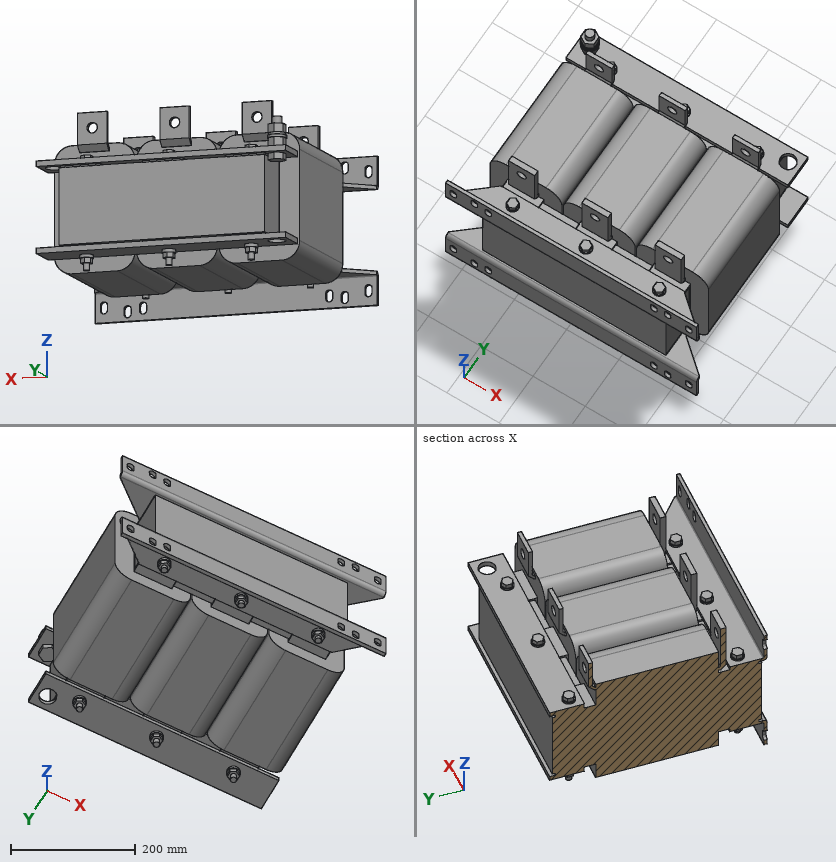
import cadquery as cq


leg_pitch = 140.0
yoke_depth = leg_pitch / 2
leg_width = 69.0
core_width = 2 * leg_pitch + yoke_depth
core_length = 360.0
core_height = 126.5
leg_positions = (-leg_pitch, 0, leg_pitch)

strip_length = 350.5
strip_thickness = 3.5
clamp_level = core_height / 2 + strip_thickness

coil_width = 137.5
coil_length = 211.0
coil_height = 210.0
coil_radius = 30.0
coil_centre_z = 8.0

terminal_width = 50.0
terminal_top = 163.0
terminal_hole_diameter = 17.5
terminal_hole_z = 138.0
rear_terminal_thickness = 7.0
rear_terminal_outer_y = 118.0
rear_terminal_bend_z = 111.0
rear_terminal_bend_drop = 10.5
front_terminal_thickness = 10.0
front_terminal_outer_y = 118.5
front_terminal_bend_z = 79.5
front_terminal_bend_drop = 8.5

bracket_width = 480.0
bracket_thickness = 6.0
bracket_bend_radius = 7.5
bracket_front_y = -189.5
bracket_rear_y = -125.0
bracket_taper_y = -180.5
bracket_reach_z = 122.0
slot_width = 12.0
slot_length = 19.5
slot_centres = ((225.0, 97.5), (185.0, 106.0), (158.5, 102.0))

plate_width = 424.5
plate_rear_y = 185.0
plate_front_y = 125.0
plate_thickness = 9.0
plate_hole_diameter = 29.0

bolt_y = 145.0
bolt_diameter = 10.0
head_size = 20.0
head_height = 7.5
washer_diameter = 22.0
head_washer_thickness = 3.0
nut_washer_thickness = 5.5
nut_size = 19.5
nut_height = 8.0
front_bolt_end_z = -94.0
rear_bolt_end_z = -101.0

stud_x = -189.5
stud_y = 161.0
stud_diameter = 16.0
stud_top = 127.0
stud_nut_size = 30.0
stud_washer_diameter = 31.0
stud_spring_washer_diameter = 28.5
stud_lower_nut_bottom = 56.0
stud_washer_bottom = 92.0
stud_washer_top = 96.5
stud_spring_washer_top = 100.5
stud_upper_nut_top = 114.5


def block(x_min, x_max, y_min, y_max, z_min, z_max):
    size = (x_max - x_min, y_max - y_min, z_max - z_min)
    return cq.Workplane("XY").box(*size, centered=False).translate((x_min, y_min, z_min))


def cylinder(x, y, diameter, z_min, z_max):
    return cq.Workplane("XY", origin=(x, y, z_min)).circle(diameter / 2).extrude(z_max - z_min)


def hexagon(x, y, corner_size, z_min, z_max):
    """Hexagonal prism with two opposite corners along Y."""
    prism = cq.Workplane("XY").polygon(6, corner_size).extrude(z_max - z_min)
    return prism.rotate((0, 0, 0), (0, 0, 1), 90).translate((x, y, z_min))


def make_core():
    """Front and rear yokes joined by three legs, each with its strips standing proud above and below."""
    yoke = cq.Workplane("XY").box(core_width, yoke_depth, core_height)
    yoke_y = (core_length - yoke_depth) / 2
    core = yoke.translate((0, yoke_y, 0)).union(yoke.translate((0, -yoke_y, 0)))
    leg = cq.Workplane("XY").box(leg_width, strip_length, 2 * clamp_level)
    for x in leg_positions:
        core = core.union(leg.translate((x, 0, 0)))
    return core


def make_coil(x):
    coil = cq.Workplane("XY").box(coil_width, coil_length, coil_height).edges("|Y").fillet(coil_radius)
    return coil.translate((x, 0, coil_centre_z))


def make_terminal(x, side, thickness, outer_y, bend_z, bend_drop):
    """Upright tab that turns through 45 degrees into the end face of a coil; side is +1 at the rear."""
    coil_end = coil_length / 2
    inner_y = outer_y - thickness
    profile = [
        (side * outer_y, terminal_top),
        (side * outer_y, bend_z),
        (side * (outer_y - bend_drop), bend_z - bend_drop),
        (side * coil_end, bend_z - bend_drop),
        (side * coil_end, bend_z - (inner_y - coil_end)),
        (side * inner_y, bend_z),
        (side * inner_y, terminal_top),
    ]
    tab = cq.Workplane("YZ").polyline(profile).close().extrude(terminal_width / 2, both=True)
    hole = (
        cq.Workplane("XZ", origin=(0, 0, terminal_hole_z))
        .circle(terminal_hole_diameter / 2)
        .extrude(core_length, both=True)
    )
    return tab.cut(hole).translate((x, 0, 0))


def make_upper_bracket():
    """Angle with a tapered flange on the core and an upright, slotted mounting face."""
    half_front = bracket_width / 2
    half_rear = core_width / 2
    outer = block(-half_front, half_front, bracket_front_y, bracket_rear_y,
                  clamp_level, bracket_reach_z)
    outer = outer.edges("|X and <Y and <Z").fillet(bracket_bend_radius)
    inner = block(-half_front, half_front, bracket_front_y + bracket_thickness, bracket_rear_y,
                  clamp_level + bracket_thickness, bracket_reach_z)
    inner = inner.edges("|X and <Y and <Z").fillet(bracket_bend_radius - bracket_thickness)
    plan = [
        (-half_front, bracket_front_y),
        (half_front, bracket_front_y),
        (half_front, bracket_taper_y),
        (half_rear, bracket_rear_y),
        (-half_rear, bracket_rear_y),
        (-half_front, bracket_taper_y),
    ]
    bracket = outer.cut(inner).intersect(cq.Workplane("XY").polyline(plan).close().extrude(bracket_reach_z))
    slot_points = [(side * x, z) for x, z in slot_centres for side in (-1, 1)]
    slots = (
        cq.Workplane("XZ", origin=(0, bracket_front_y + bracket_thickness, 0))
        .pushPoints(slot_points)
        .slot2D(slot_length, slot_width, 90)
        .extrude(bracket_thickness)
    )
    return bracket.cut(slots)


def make_upper_plate():
    """Rear clamping plate with its open hole at the +X end."""
    plate = block(-plate_width / 2, plate_width / 2, plate_front_y, plate_rear_y,
                  clamp_level, clamp_level + plate_thickness)
    hole = cylinder(-stud_x, stud_y, plate_hole_diameter, clamp_level, clamp_level + plate_thickness)
    return plate.cut(hole)


def make_bolt(x, y, seat_z, end_z):
    """Clamping bolt with head on top, nut below and washers against seats at +seat_z and -seat_z."""
    head_bottom = seat_z + head_washer_thickness
    nut_top = -seat_z - nut_washer_thickness
    bolt = cylinder(x, y, bolt_diameter, end_z, head_bottom)
    bolt = bolt.union(cylinder(x, y, washer_diameter, seat_z, head_bottom))
    bolt = bolt.union(hexagon(x, y, head_size, head_bottom, head_bottom + head_height))
    bolt = bolt.union(cylinder(x, y, washer_diameter, nut_top, -seat_z))
    return bolt.union(hexagon(x, y, nut_size, nut_top - nut_height, nut_top))


def make_stud():
    plate_top = clamp_level + plate_thickness
    stud = cylinder(stud_x, stud_y, stud_diameter, stud_lower_nut_bottom, stud_top)
    stud = stud.union(hexagon(stud_x, stud_y, stud_nut_size, stud_lower_nut_bottom, clamp_level))
    stud = stud.union(hexagon(stud_x, stud_y, stud_nut_size, plate_top, stud_washer_bottom))
    stud = stud.union(cylinder(stud_x, stud_y, stud_washer_diameter, stud_washer_bottom, stud_washer_top))
    stud = stud.union(
        cylinder(stud_x, stud_y, stud_spring_washer_diameter, stud_washer_top, stud_spring_washer_top)
    )
    return stud.union(hexagon(stud_x, stud_y, stud_nut_size, stud_spring_washer_top, stud_upper_nut_top))


upper_bracket = make_upper_bracket()
upper_plate = make_upper_plate()

result = make_core()
result = result.union(upper_bracket).union(upper_bracket.mirror("XY"))
result = result.union(upper_plate).union(upper_plate.rotate((0, 0, 0), (0, 1, 0), 180))
for leg_x in leg_positions:
    result = result.union(make_coil(leg_x))
    rear_terminal = make_terminal(
        leg_x, 1, rear_terminal_thickness, rear_terminal_outer_y,
        rear_terminal_bend_z, rear_terminal_bend_drop,
    )
    front_terminal = make_terminal(
        leg_x, -1, front_terminal_thickness, front_terminal_outer_y,
        front_terminal_bend_z, front_terminal_bend_drop,
    )
    result = result.union(rear_terminal).union(front_terminal)
    result = result.union(make_bolt(leg_x, -bolt_y, clamp_level + bracket_thickness, front_bolt_end_z))
    result = result.union(make_bolt(leg_x, bolt_y, clamp_level + plate_thickness, rear_bolt_end_z))
result = result.union(make_stud())